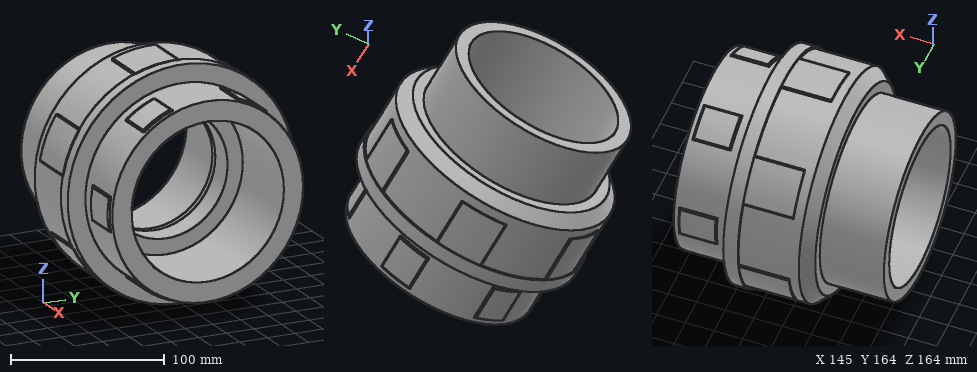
import cadquery as cq


total_length = 145.0
bore_diameter = 88.0
socket_diameter = 110.0
socket_depth = 61.2
joint_x = 65.5

spigot_diameter = 129.0

body_diameter = 138.4
end_band_length = 1.0
end_band_drop = 0.2

nut_start = 44.8
nut_end = 105.3
nut_face_diameter = 145.0
nut_diameter = 161.0
nut_bevel_length = 8.4
nut_lip_length = 14.8
flange_diameter = 164.0
flange_length = 10.2

grip_count = 6
grip_start = 60.2
grip_diameter = 162.8
grip_span = 23.8
grip_first_angle = 21.4

pad_count = 6
pad_start = 114.6
pad_length = 26.7
pad_diameter = 140.3
pad_span = 20.2
pad_first_angle = 0.0

bore_radius = bore_diameter / 2
socket_radius = socket_diameter / 2
spigot_radius = spigot_diameter / 2
body_radius = body_diameter / 2
nut_lip_end = nut_start + nut_lip_length
flange_start = nut_end - flange_length
grip_length = flange_start - grip_start
body_socket_bottom = total_length - socket_depth


def revolve_profile(points):
    """Turn a closed (X, radius) outline about the X axis."""
    return cq.Workplane("XY").polyline(points).close().revolve(360, (0, 0), (1, 0))


def turn_about_axis(shape, angle):
    """Turn a shape about the X axis, from -Y toward +Z."""
    return shape.rotate((0, 0, 0), (1, 0, 0), -angle)


def curved_pad(start, length, base_diameter, top_diameter, span, sloped_ends):
    """Curved pad centered on -Y, rooted below its base, with sides sloped at 45 degrees.

    The two ends across X slope as well if sloped_ends is true.
    """
    top_radius = top_diameter / 2
    height = top_radius - base_diameter / 2
    root_radius = top_radius - 2 * height
    block = (
        cq.Workplane("XY")
        .moveTo(start, -root_radius)
        .lineTo(start + length, -root_radius)
        .lineTo(start + length, -top_radius)
        .lineTo(start, -top_radius)
        .close()
        .revolve(span, (0, 0), (1, 0))
    )
    block = turn_about_axis(block, span / 2)
    top_edges = block.faces("<Y").edges(None if sloped_ends else "|X")
    return top_edges.chamfer(height)


def add_pad_ring(part, pad, count, first_angle):
    """Join evenly spaced copies of a pad to a part."""
    for index in range(count):
        angle = first_angle + index * 360 / count
        part = part.union(turn_about_axis(pad, angle))
    return part


def make_connector():
    """Spigot with a pipe socket and a collar held behind the lip of the nut."""
    return revolve_profile([
        (0, socket_radius),
        (0, spigot_radius),
        (nut_lip_end, spigot_radius),
        (nut_lip_end, body_radius),
        (joint_x, body_radius),
        (joint_x, bore_radius),
        (socket_depth, bore_radius),
        (socket_depth, socket_radius),
    ])


def make_body():
    """Sleeve that meets the connector inside the nut, with a pipe socket and outer pads."""
    sleeve = revolve_profile([
        (joint_x, bore_radius),
        (joint_x, body_radius),
        (total_length - end_band_length, body_radius),
        (total_length, body_radius - end_band_drop),
        (total_length, socket_radius),
        (body_socket_bottom, socket_radius),
        (body_socket_bottom, bore_radius),
    ])
    pad = curved_pad(pad_start, pad_length, body_diameter, pad_diameter, pad_span, True)
    return add_pad_ring(sleeve, pad, pad_count, pad_first_angle)


def make_nut():
    """Beveled ring with an inner lip, an end flange and grip pads."""
    ring = revolve_profile([
        (nut_start, spigot_radius),
        (nut_start, nut_face_diameter / 2),
        (nut_start + nut_bevel_length, nut_diameter / 2),
        (flange_start, nut_diameter / 2),
        (flange_start, flange_diameter / 2),
        (nut_end, flange_diameter / 2),
        (nut_end, body_radius),
        (nut_lip_end, body_radius),
        (nut_lip_end, spigot_radius),
    ])
    grip = curved_pad(grip_start, grip_length, nut_diameter, grip_diameter, grip_span, False)
    return add_pad_ring(ring, grip, grip_count, grip_first_angle)


connector = make_connector()
body = make_body()
nut = make_nut()

bodies = [connector, body, nut]
result = cq.Compound.makeCompound([part.solids().val() for part in bodies])